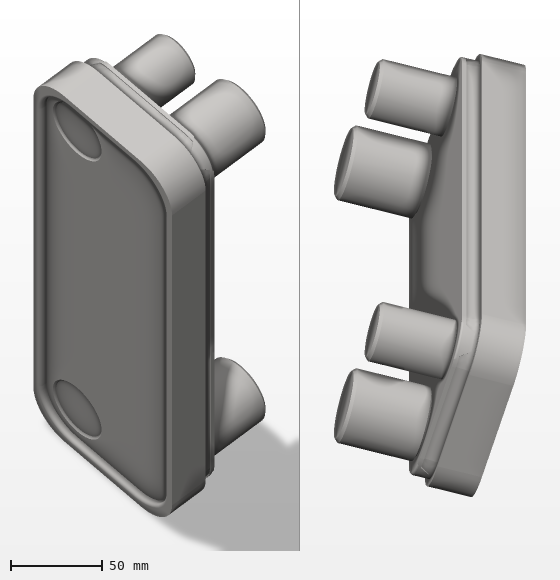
import cadquery as cq
import math


LENGTH = 310.0
WIDTH = 111.0
HOUSING_DEPTH = 25.0
CORNER_RADIUS = 24.8

PORT_X = 25.0
PORT_Z = 125.0

RECESS_MARGIN = 5.5
RECESS_DEPTH = 4.3
RIM_FILLET = 2.0
DIMPLE_RADIUS = 19.5
DIMPLE_FLOOR_RADIUS = 18.3
DIMPLE_DEPTH = 1.2

COVER_INSET = 4.0
COVER_DEPTH = 7.8
COVER_DRAFT = 6.0

PLATE_THICKNESS = 2.5
FLAP_THICKNESS = 2.0
FLAP_DROP = 6.0
FLAP_TIP_WIDTH = 10.0
FLAP_SIDE_ANGLE = 36.0
FLAP_FILLET = 1.2

SMALL_RADIUS = 16.7
SMALL_TOP = 78.7
LARGE_RADIUS = 21.0
LARGE_TOP = 80.3
NECK_RADIUS = 18.3
NECK_LENGTH = 1.2
PIPE_CHAMFER = 2.0

PLATE_BOTTOM = HOUSING_DEPTH + COVER_DEPTH
PLATE_TOP = PLATE_BOTTOM + PLATE_THICKNESS
FLAP_TIP = PLATE_BOTTOM - FLAP_DROP
COVER_WIDTH = WIDTH - 2 * COVER_INSET
COVER_LENGTH = LENGTH - 2 * COVER_INSET
COVER_RADIUS = CORNER_RADIUS - COVER_INSET
CORNER_X = WIDTH / 2 - CORNER_RADIUS
CORNER_Z = LENGTH / 2 - CORNER_RADIUS


def back_facing_plane(x, y, z):
    """Work plane at the given point whose normal is +Y and whose local X is +X."""
    return cq.Workplane(cq.Plane(origin=(x, y, z), xDir=(1, 0, 0), normal=(0, 1, 0)))


def rounded_slab(width, length, radius, start, end, draft=0.0):
    """Rounded rectangle in X and Z, filled from Y = start to Y = end and narrowing by the draft."""
    outline = cq.Sketch().rect(width, length).vertices().fillet(radius)
    return back_facing_plane(0, start, 0).placeSketch(outline).extrude(end - start, taper=draft)


def make_housing():
    body = rounded_slab(WIDTH, LENGTH, CORNER_RADIUS, 0, HOUSING_DEPTH)

    recess_width = WIDTH - 2 * RECESS_MARGIN
    recess_length = LENGTH - 2 * RECESS_MARGIN
    recess_radius = recess_width / 2 - PORT_X
    body = body.cut(rounded_slab(recess_width, recess_length, recess_radius, 0, RECESS_DEPTH))
    reach_x = recess_width / 2 + RIM_FILLET
    reach_z = recess_length / 2 + RIM_FILLET
    recess_mouth = cq.selectors.BoxSelector(
        (-reach_x, -RIM_FILLET, -reach_z), (reach_x, RIM_FILLET, reach_z), boundingbox=True
    )
    body = body.edges(recess_mouth).fillet(RIM_FILLET)

    dimple_wall_angle = math.degrees(math.atan2(DIMPLE_RADIUS - DIMPLE_FLOOR_RADIUS, DIMPLE_DEPTH))
    for z in (-PORT_Z, PORT_Z):
        mouth = back_facing_plane(-PORT_X, RECESS_DEPTH, z).circle(DIMPLE_RADIUS)
        body = body.cut(mouth.extrude(DIMPLE_DEPTH, taper=dimple_wall_angle))
    return body


def make_flap_zone(side_x, side_z):
    """Trapezoid prism that runs out diagonally through one corner and widens toward the back."""
    tip_half = FLAP_TIP_WIDTH / 2
    height = PLATE_TOP - FLAP_TIP
    back_half = tip_half + height * math.tan(math.radians(FLAP_SIDE_ANGLE))
    diagonal = cq.Plane(
        origin=(side_x * CORNER_X, FLAP_TIP, side_z * CORNER_Z),
        xDir=(side_z, 0, -side_x),
        normal=(side_x, 0, side_z),
    )
    return (
        cq.Workplane(diagonal)
        .moveTo(-tip_half, 0)
        .lineTo(tip_half, 0)
        .lineTo(back_half, height)
        .lineTo(-back_half, height)
        .close()
        .extrude(CORNER_RADIUS)
    )


def make_frame_plate():
    plate = rounded_slab(COVER_WIDTH, COVER_LENGTH, COVER_RADIUS, PLATE_BOTTOM, PLATE_TOP)

    shell = rounded_slab(COVER_WIDTH, COVER_LENGTH, COVER_RADIUS, FLAP_TIP, PLATE_TOP)
    shell = shell.faces(">Y").edges().fillet(FLAP_FILLET)
    inside = rounded_slab(
        COVER_WIDTH - 2 * FLAP_THICKNESS,
        COVER_LENGTH - 2 * FLAP_THICKNESS,
        COVER_RADIUS - FLAP_THICKNESS,
        FLAP_TIP,
        PLATE_BOTTOM,
    )
    shell = shell.cut(inside)

    for side_x in (-1, 1):
        for side_z in (-1, 1):
            zone = make_flap_zone(side_x, side_z)
            plate = plate.cut(zone).union(shell.intersect(zone))
    return plate


def make_back_cover(plate):
    """Drafted cover behind the housing, notched where the flaps of the frame plate lie."""
    cover = rounded_slab(
        COVER_WIDTH, COVER_LENGTH, COVER_RADIUS, HOUSING_DEPTH, PLATE_BOTTOM, COVER_DRAFT
    )
    return cover.cut(plate)


def make_small_pipe(z):
    pipe = back_facing_plane(-PORT_X, PLATE_TOP, z).circle(SMALL_RADIUS).extrude(SMALL_TOP - PLATE_TOP)
    return pipe.faces(">Y").edges().chamfer(PIPE_CHAMFER)


def make_large_pipe(z):
    """Pipe that stands on a short, narrower neck."""
    shoulder = PLATE_TOP + NECK_LENGTH
    pipe = back_facing_plane(PORT_X, shoulder, z).circle(LARGE_RADIUS).extrude(LARGE_TOP - shoulder)
    pipe = pipe.faces(">Y").edges().chamfer(PIPE_CHAMFER)
    neck = back_facing_plane(PORT_X, PLATE_TOP, z).circle(NECK_RADIUS).extrude(NECK_LENGTH)
    return pipe.union(neck)


housing = make_housing()
frame_plate = make_frame_plate()
back_cover = make_back_cover(frame_plate)
small_pipes = [make_small_pipe(z) for z in (-PORT_Z, PORT_Z)]
large_pipes = [make_large_pipe(z) for z in (-PORT_Z, PORT_Z)]

bodies = [housing, back_cover, frame_plate, *small_pipes, *large_pipes]
result = cq.Compound.makeCompound([body.val() for body in bodies])